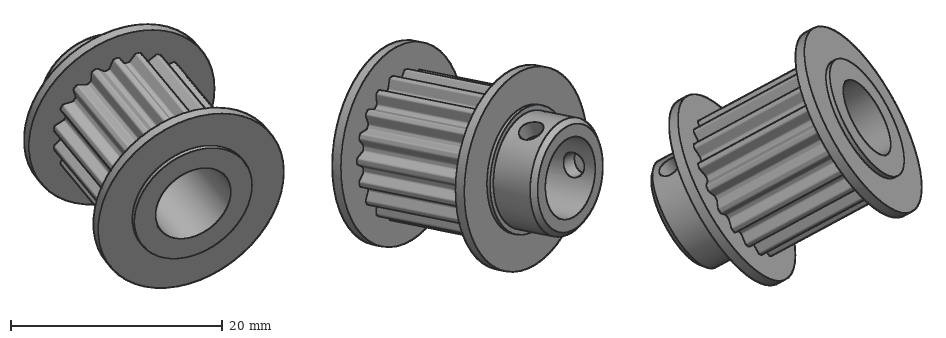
import cadquery as cq
import math

hub_chamfer = 0.5
screw_x = 2.5
hub_length = 4.83
first_flange_start = 5.22
flange_thickness = 1.04
tooth_start = first_flange_start + flange_thickness
tooth_length = 13.46
second_flange_start = tooth_start + tooth_length
second_flange_end = second_flange_start + flange_thickness
total_length = 21.2

bore_diameter = 8.0
hub_diameter = 11.5
collar_diameter = 12.5
flange_diameter = 19.75
screw_diameter = 2.45

tooth_count = 19
tip_diameter = 14.6
root_diameter = 12.75
gap_root_width = 0.49
gap_tip_width = 1.82
tooth_rounding = 0.23

screw_angles = (0, 120)


def disc(start, end, diameter):
    """Solid cylinder on the X axis between two axial positions."""
    return cq.Workplane("YZ", origin=(start, 0, 0)).circle(diameter / 2).extrude(end - start)


def toothed_section():
    """Cylinder with tapered belt gaps, the first one centred on -Y."""
    tip_radius = tip_diameter / 2
    root_radius = root_diameter / 2
    gap_tip_distance = math.sqrt(tip_radius**2 - (gap_tip_width / 2) ** 2)
    flank_slope = (gap_tip_width - gap_root_width) / 2 / (gap_tip_distance - root_radius)
    outer_distance = tip_radius + tooth_rounding
    outer_half_width = gap_root_width / 2 + flank_slope * (outer_distance - root_radius)
    gap = (
        cq.Workplane("YZ", origin=(tooth_start, 0, 0))
        .moveTo(-root_radius, -gap_root_width / 2)
        .lineTo(-root_radius, gap_root_width / 2)
        .lineTo(-outer_distance, outer_half_width)
        .lineTo(-outer_distance, -outer_half_width)
        .close()
        .extrude(tooth_length)
    )
    section = disc(tooth_start, second_flange_start, tip_diameter).rotate((0, 0, 0), (1, 0, 0), 180)
    for index in range(tooth_count):
        section = section.cut(gap.rotate((0, 0, 0), (1, 0, 0), index * 360 / tooth_count))
    return section.edges("|X").fillet(tooth_rounding)


def screw_hole(angle):
    """Radial hole through one side of the hub wall, reaching the bore."""
    hole = (
        cq.Workplane("XZ", origin=(screw_x, 0, 0))
        .circle(screw_diameter / 2)
        .extrude(hub_diameter / 2 + screw_diameter)
    )
    return hole.rotate((0, 0, 0), (1, 0, 0), -angle)


hub = disc(0, hub_length, hub_diameter).faces("<X").chamfer(hub_chamfer)

result = (
    toothed_section()
    .union(disc(first_flange_start, tooth_start, flange_diameter))
    .union(disc(second_flange_start, second_flange_end, flange_diameter))
    .union(disc(hub_length, first_flange_start, collar_diameter))
    .union(disc(second_flange_end, total_length, collar_diameter))
    .union(hub)
    .cut(disc(0, total_length, bore_diameter))
)

for screw_angle in screw_angles:
    result = result.cut(screw_hole(screw_angle))